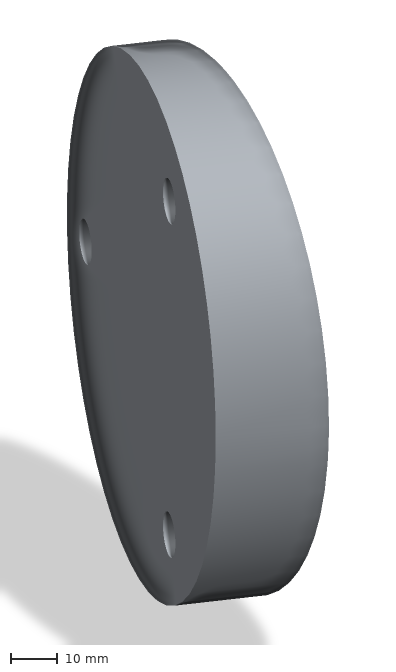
import cadquery as cq

disc_diameter = 120.0
thin_edge = 8.0
thick_edge = 25.0

hole_diameter = 10.0
hole_circle_radius = 45.0
hole_count = 3
first_hole_angle = 180.0

disc_radius = disc_diameter / 2


def make_wedge_disc():
    """Disc along Y, limited by a wedge that thickens toward +X."""
    wedge = (
        cq.Workplane("XY")
        .moveTo(-disc_radius, 0)
        .lineTo(disc_radius, 0)
        .lineTo(disc_radius, thick_edge)
        .lineTo(-disc_radius, thin_edge)
        .close()
        .extrude(disc_radius, both=True)
    )
    disc = cq.Workplane("XZ").circle(disc_radius).extrude(-thick_edge)
    return disc.intersect(wedge)


def make_holes():
    """Cylinders that cut the holes through the full thickness."""
    return (
        cq.Workplane("XZ")
        .polarArray(hole_circle_radius, first_hole_angle, 360, hole_count)
        .circle(hole_diameter / 2)
        .extrude(-thick_edge)
    )


result = make_wedge_disc().cut(make_holes())